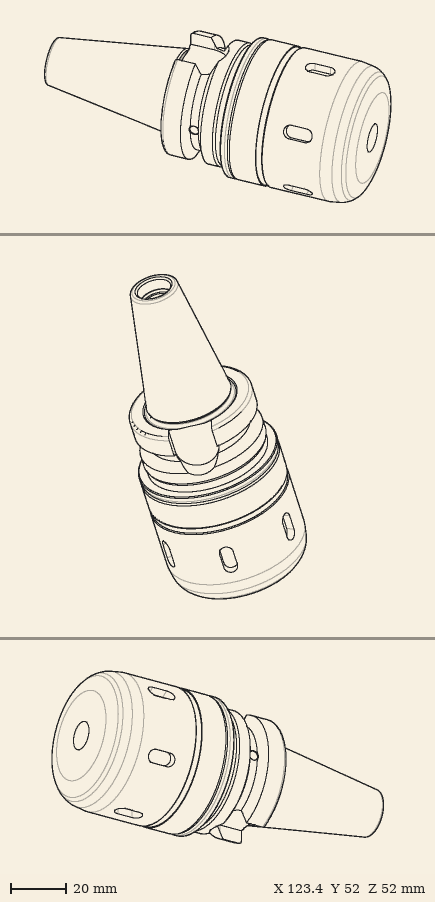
import cadquery as cq
import math

total_length = 123.4
axis_start = (0, 0, 0)
axis_end = (1, 0, 0)
full_turn = 360

taper_rate = 7 / 24
x_taper_end = 48.4
gauge_radius = 31.7 / 2
small_end_radius = gauge_radius - x_taper_end * taper_rate / 2
small_end_round = 0.9
x_relief = 49.1
relief_radius = 15.4

x_flange = 50.2
flange_radius = 46.0 / 2
neck_radius = 45.0 / 2
flange_round = 1.1
face_recess_radius = 17.6
face_recess_floor_radius = 17.2
face_recess_depth = 0.4
relief_fillet = 1.1
groove_floor_radius = 37.9 / 2
x_groove_start = 58.1
x_groove_floor_start = 60.3
x_groove_floor_end = 63.4
x_groove_end = 65.9
x_flange_back = 70.5
x_neck = 71.5

x_nut = 74.4
nut_radius = 52.0 / 2
nut_chamfer = 0.4
x_seam_start = 76.3
x_seam_bottom = 77.2
x_seam_end = 78.1
seam_depth = 0.31
x_band_start = 88.2
x_band_end = 90.8
band_radius = 51.2 / 2
x_nose_start = 113.0
x_nose_shoulder = 117.5
nose_shoulder_radius = 25.3
nose_shoulder_mid = (119.2, 24.7)
x_nose_facet_start = 120.6
nose_facet_start_radius = 23.8
x_nose_facet_end = 121.8
nose_facet_end_radius = 22.6
nose_face_radius = 16.8

through_radius = 10.5 / 2
pilot_radius = 12.5 / 2
mouth_radius = 13.8 / 2
mouth_chamfer = mouth_radius - pilot_radius
pilot_depth = 4.8
seat_radius = 12.0 / 2
x_seat_end = 5.8
lead_in_radius = 11.2 / 2

key_width = 16.0
key_floor_height = 16.3
x_key_end = 67.5

cross_hole_diameter = 3.5
cross_mouth_diameter = 4.0
cross_mouth_depth = (cross_mouth_diameter - cross_hole_diameter) / 2
x_cross_hole = (x_groove_floor_start + x_groove_floor_end) / 2

spanner_count = 6
spanner_length = 11.0
spanner_width = 5.0
spanner_floor_height = 22.7
x_spanner = 103.3


def make_body():
    """Revolve the outer half profile, drawn as (station, radius), about the X axis."""
    round_end_radius = small_end_radius + small_end_round * taper_rate / 2
    round_middle = small_end_round * (1 - math.sqrt(0.5))
    x_recess_floor = x_flange + face_recess_depth
    tip_run = total_length - x_nose_facet_end
    tip_rise = nose_facet_end_radius - nose_face_radius
    nose_tip_round = (tip_run**2 + tip_rise**2) / (2 * tip_run)
    profile = (
        cq.Workplane("XY")
        .moveTo(0, 0)
        .lineTo(0, round_end_radius - small_end_round)
        .threePointArc(
            (round_middle, round_end_radius - round_middle),
            (small_end_round, round_end_radius),
        )
        .lineTo(x_taper_end, gauge_radius)
        .lineTo(x_relief, relief_radius)
        .lineTo(x_recess_floor - relief_fillet, relief_radius)
        .radiusArc((x_recess_floor, relief_radius + relief_fillet), -relief_fillet)
        .lineTo(x_recess_floor, face_recess_floor_radius)
        .lineTo(x_flange, face_recess_radius)
        .lineTo(x_flange, flange_radius - flange_round)
        .radiusArc((x_flange + flange_round, flange_radius), flange_round)
        .lineTo(x_groove_start, flange_radius)
        .lineTo(x_groove_floor_start, groove_floor_radius)
        .lineTo(x_groove_floor_end, groove_floor_radius)
        .lineTo(x_groove_end, flange_radius)
        .lineTo(x_flange_back, flange_radius)
        .lineTo(x_neck, neck_radius)
        .lineTo(x_nut, neck_radius)
        .lineTo(x_nut, nut_radius - nut_chamfer)
        .lineTo(x_nut + nut_chamfer, nut_radius)
        .lineTo(x_seam_start, nut_radius)
        .lineTo(x_seam_bottom, nut_radius - seam_depth)
        .lineTo(x_seam_end, nut_radius)
        .lineTo(x_band_start, nut_radius)
        .lineTo(x_band_start, band_radius)
        .lineTo(x_band_end - (nut_radius - band_radius), band_radius)
        .lineTo(x_band_end, nut_radius)
        .lineTo(x_nose_start, nut_radius)
        .lineTo(x_nose_shoulder, nose_shoulder_radius)
        .threePointArc(nose_shoulder_mid, (x_nose_facet_start, nose_facet_start_radius))
        .lineTo(x_nose_facet_end, nose_facet_end_radius)
        .radiusArc((total_length, nose_face_radius), nose_tip_round)
        .lineTo(total_length, 0)
        .close()
    )
    return profile.revolve(full_turn, axis_start, axis_end)


def make_bore():
    """Through bore with a chamfered pilot counterbore and a conical lead-in at the small end."""
    x_lead_in_end = x_seat_end + (lead_in_radius - through_radius)
    profile = (
        cq.Workplane("XY")
        .moveTo(0, 0)
        .lineTo(0, mouth_radius)
        .lineTo(mouth_chamfer, pilot_radius)
        .lineTo(pilot_depth, pilot_radius)
        .lineTo(pilot_depth, seat_radius)
        .lineTo(x_seat_end, lead_in_radius)
        .lineTo(x_lead_in_end, through_radius)
        .lineTo(total_length, through_radius)
        .lineTo(total_length, 0)
        .close()
    )
    return profile.revolve(full_turn, axis_start, axis_end)


def make_key_slot():
    """Round-ended drive key slot, open toward the taper, on the +Z side."""
    half_width = key_width / 2
    x_round_start = x_key_end - half_width
    return (
        cq.Workplane("XY", origin=(0, 0, key_floor_height))
        .moveTo(x_taper_end, -half_width)
        .lineTo(x_round_start, -half_width)
        .threePointArc((x_key_end, 0), (x_round_start, half_width))
        .lineTo(x_taper_end, half_width)
        .close()
        .extrude(nut_radius - key_floor_height)
    )


def make_cross_hole():
    """Hole through both sides of the gripper groove, with a small chamfer at each mouth."""
    center = (x_cross_hole, 0, 0)
    hole = (
        cq.Workplane("XZ", origin=center)
        .circle(cross_hole_diameter / 2)
        .extrude(nut_radius, both=True)
    )
    for side in (-1, 1):
        mouth = cq.Solid.makeCone(
            cross_mouth_diameter / 2,
            cross_hole_diameter / 2,
            cross_mouth_depth,
            cq.Vector(x_cross_hole, side * groove_floor_radius, 0),
            cq.Vector(0, -side, 0),
        )
        hole = hole.union(cq.Workplane(mouth))
    return hole


def make_spanner_slot():
    """Blind, flat-floored spanner slot on the +Z side of the nut."""
    return (
        cq.Workplane("XY", origin=(x_spanner, 0, spanner_floor_height))
        .slot2D(spanner_length, spanner_width)
        .extrude(nut_radius - spanner_floor_height)
    )


result = make_body().cut(make_bore()).cut(make_cross_hole())

for angle in (0, full_turn / 2):
    result = result.cut(make_key_slot().rotate(axis_start, axis_end, angle))

for index in range(spanner_count):
    angle = index * full_turn / spanner_count
    result = result.cut(make_spanner_slot().rotate(axis_start, axis_end, angle))